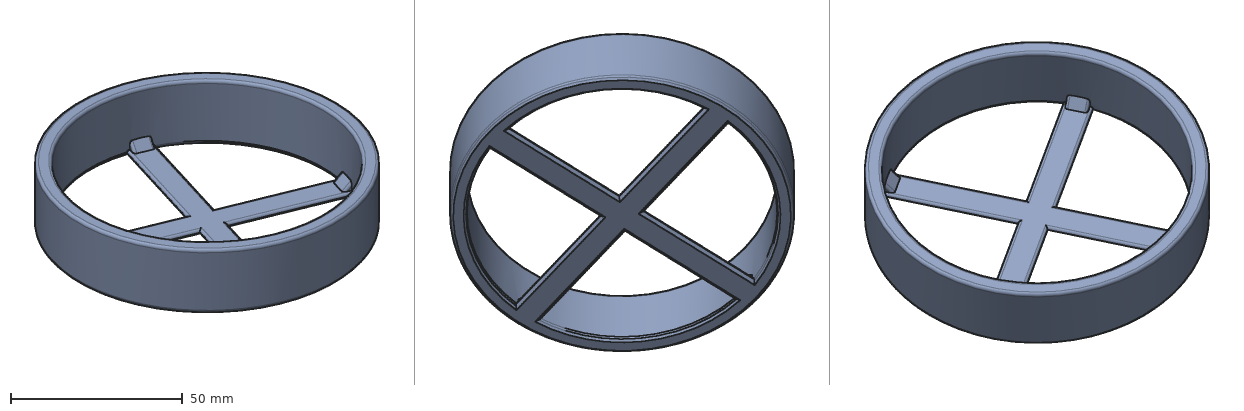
import cadquery as cq

outer_radius = 50.2
bore_radius = 45.2
height = 22.0
rim_fillet = 1.0
bottom_chamfer = 1.0
chamfer_blend = 1.0

spoke_width = 8.9
spoke_thickness = 2.0
spoke_fillet = 0.95

gusset_width = spoke_width - 2 * spoke_fillet
gusset_run = 3.0
gusset_rise = 3.0
gusset_fillet = 0.9
wall_overlap = 3.0


def make_ring():
    ring = cq.Workplane("XY").circle(outer_radius).circle(bore_radius).extrude(height)
    ring = ring.faces(">Z").edges().fillet(rim_fillet)
    ring = ring.faces("<Z").edges().chamfer(bottom_chamfer)
    chamfer_corners = ring.faces("%CONE").edges(">Z")
    return chamfer_corners.fillet(chamfer_blend)


def make_cross():
    spoke_length = 2 * (bore_radius + wall_overlap)
    along_x = cq.Workplane("XY").rect(spoke_length, spoke_width).extrude(spoke_thickness)
    along_y = cq.Workplane("XY").rect(spoke_width, spoke_length).extrude(spoke_thickness)
    cross = along_x.union(along_y)
    cross = cross.faces("<Z").edges().chamfer(bottom_chamfer)
    return cross.faces(">Z").edges().fillet(spoke_fillet)


def make_gusset():
    """Ramp on the +X spoke, climbing outwards into the bore wall."""
    slope = gusset_rise / gusset_run
    toe = bore_radius - gusset_run
    heel = bore_radius + wall_overlap
    heel_rise = slope * (heel - toe)
    gusset = (
        cq.Workplane("XZ")
        .moveTo(toe, spoke_thickness)
        .lineTo(heel, spoke_thickness)
        .lineTo(heel, spoke_thickness + heel_rise)
        .close()
        .extrude(gusset_width / 2, both=True)
    )
    sloped_edges = gusset.edges("not(|X or |Y or |Z)")
    return sloped_edges.fillet(gusset_fillet)


result = make_ring().union(make_cross())
gusset = make_gusset()
for angle in (0, 90, 180, 270):
    result = result.union(gusset.rotate((0, 0, 0), (0, 0, 1), angle))